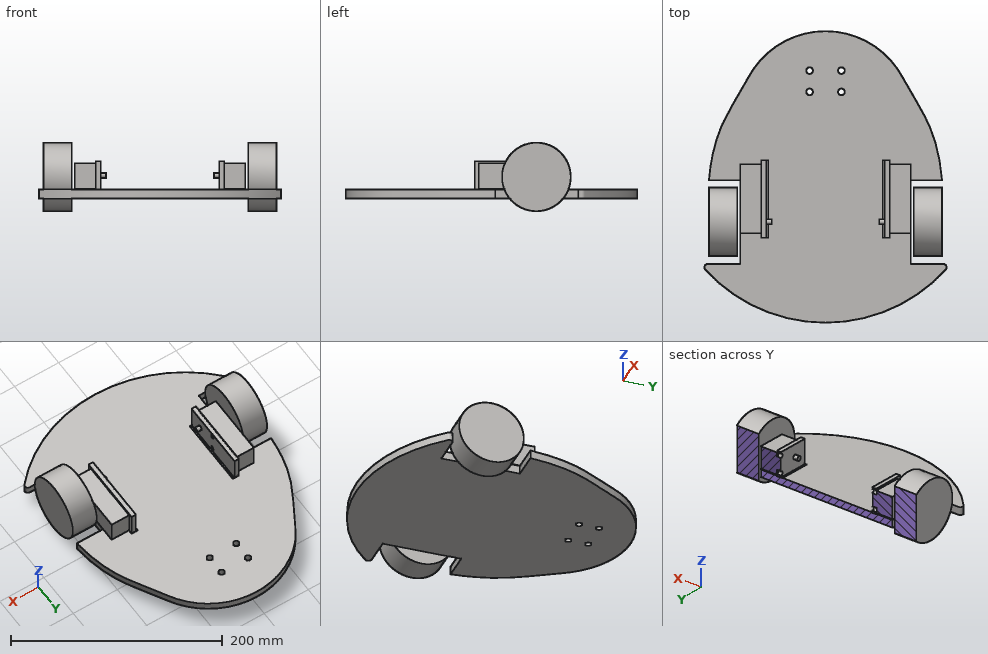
import cadquery as cq
import math


wheel_diameter = 65.0
wheel_width = 27.0
wheel_outer_x = 110.2

base_thickness = 8.5
base_top_z = -11.8
base_rear_y = -95.3
base_front_y = base_rear_y + 275.5
rear_radius = 153.7
nose_radius = 82.6
nose_end_y = 136.6
side_mid_x = 98.5
side_mid_y = 89.5
side_end_slope = 0.08
tip_fillet = 3.3

cutout_inner_x = 80.7
cutout_front_y = 39.0
cutout_rear_y = -39.7

mount_hole_diameter = 6.0
mount_spacing_x = 30.0
mount_spacing_y = 20.0
mount_center_y = 132.8

block_depth = 19.8
block_length = 65.0
block_height = 24.2
plate_thickness = 5.0
plate_length = 73.3
motor_center_y = 21.8
motor_center_z = 0.8
plate_top_z = 15.0
shaft_diameter = 5.0
shaft_length = 5.0
shaft_z = 1.5
plate_hole_diameter = 4.0
plate_hole_spacing = 18.7
plate_hole_y = 20.5

groove_width = 7.0
groove_depth = 0.3

nose_center_y = base_front_y - nose_radius
plate_outer_x = cutout_inner_x - block_depth
plate_inner_x = plate_outer_x - plate_thickness
plate_bottom_z = base_top_z - groove_depth
plate_height = plate_top_z - plate_bottom_z
plate_center_z = (plate_top_z + plate_bottom_z) / 2


def point_on_nose(y):
    """X of the nose arc at position y along the board."""
    return math.sqrt(nose_radius**2 - (y - nose_center_y)**2)


def point_on_rear(y):
    """X of the rear arc at position y along the board."""
    return math.sqrt(rear_radius**2 - (base_rear_y + rear_radius - y)**2)


def make_base():
    nose_end_x = point_on_nose(nose_end_y)
    tip_x = point_on_rear(cutout_rear_y)
    base = (
        cq.Workplane("XY", origin=(0, 0, base_top_z - base_thickness))
        .moveTo(-tip_x, cutout_rear_y)
        .threePointArc((0, base_rear_y), (tip_x, cutout_rear_y))
        .lineTo(cutout_inner_x, cutout_rear_y)
        .lineTo(cutout_inner_x, cutout_front_y)
        .lineTo(wheel_outer_x, cutout_front_y)
        .spline(
            [(side_mid_x, side_mid_y), (nose_end_x, nose_end_y)],
            tangents=[(-side_end_slope, 1), (-nose_end_y + nose_center_y, nose_end_x)],
            includeCurrent=True,
        )
        .threePointArc((0, base_front_y), (-nose_end_x, nose_end_y))
        .spline(
            [(-side_mid_x, side_mid_y), (-wheel_outer_x, cutout_front_y)],
            tangents=[(-nose_end_y + nose_center_y, -nose_end_x), (-side_end_slope, -1)],
            includeCurrent=True,
        )
        .lineTo(-cutout_inner_x, cutout_front_y)
        .lineTo(-cutout_inner_x, cutout_rear_y)
        .close()
        .extrude(base_thickness)
    )

    base = base.edges("|Z and (<X or >X)").fillet(tip_fillet)

    mount_holes = (
        cq.Workplane("XY", origin=(0, mount_center_y, base_top_z - base_thickness))
        .rarray(mount_spacing_x, mount_spacing_y, 2, 2)
        .circle(mount_hole_diameter / 2)
        .extrude(base_thickness)
    )
    base = base.cut(mount_holes)

    for side in (-1, 1):
        groove_x = side * (plate_outer_x - groove_width / 2)
        groove = cq.Workplane("XY", origin=(groove_x, motor_center_y, base_top_z)).box(
            groove_width, plate_length, 2 * groove_depth
        )
        base = base.cut(groove)
    return base


def make_motor(side):
    """One motor, with its shaft pointing to the middle of the board; side is -1 or 1."""
    block = cq.Workplane(
        "XY", origin=(side * (plate_outer_x + block_depth / 2), motor_center_y, motor_center_z)
    ).box(block_depth, block_length, block_height)
    plate = cq.Workplane(
        "XY", origin=(side * (plate_outer_x - plate_thickness / 2), motor_center_y, plate_center_z)
    ).box(plate_thickness, plate_length, plate_height)
    shaft = (
        cq.Workplane("YZ", origin=(side * plate_inner_x, 0, shaft_z))
        .circle(shaft_diameter / 2)
        .extrude(-side * shaft_length)
    )
    plate_holes = (
        cq.Workplane("YZ", origin=(side * plate_inner_x, plate_hole_y, shaft_z))
        .pushPoints([(0, -plate_hole_spacing / 2), (0, plate_hole_spacing / 2)])
        .circle(plate_hole_diameter / 2)
        .extrude(side * plate_thickness)
    )
    return plate.cut(plate_holes).union(block).union(shaft)


def make_wheel(side):
    """One plain wheel; side is -1 or 1."""
    return (
        cq.Workplane("YZ", origin=(side * wheel_outer_x, 0, 0))
        .circle(wheel_diameter / 2)
        .extrude(-side * wheel_width)
    )


base = make_base()
motors = [make_motor(side) for side in (-1, 1)]
wheels = [make_wheel(side) for side in (-1, 1)]

result = cq.Compound.makeCompound([base.val(), *[body.val() for body in motors + wheels]])